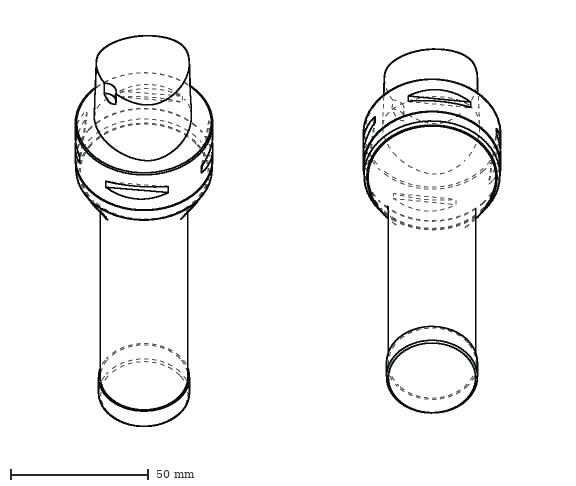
import cadquery as cq
import math

TOTAL_HEIGHT = 178.0
FLANGE_TOP = 148.5
BAND_TOP = 128.5
FLANGE_BOTTOM = 122.0
SHANK_TOP = 103.2
CAP_TOP = 9.8

FLANGE_RADIUS = 50.0 / 2
BAND_RADIUS = 49.5 / 2
NECK_RADIUS = 46.5 / 2
SHANK_RADIUS = 31.9 / 2
FLANGE_CHAMFER = 0.5
BAND_CHAMFER = 1.0

NECK_HALF_ANGLE = math.radians(28)
NECK_UPPER_BLEND = 10.7
NECK_LOWER_BLEND = 8.9
NECK_OVERLAP = 1.8
HEIGHT_TOLERANCE = 0.2

LOBE_BASE_RADIUS = 17.6
LOBE_ECCENTRICITY = 1.0
LOBE_COUNT = 3
TAPER_PER_SIDE = 1 / 40
STRAIGHT_HEIGHT = 2.5
CURVE_POINTS = 36

NOTCH_RADIUS = 4.1
NOTCH_AXIS_Y = -18.2
NOTCH_DEPTH = 5.5
NOTCH_TIP_HEIGHT = 3.2

SLOT_COUNT = 4
SLOT_CENTRE_Z = 138.1
SLOT_FLOOR_DISTANCE = 22.2
SLOT_FLOOR_HEIGHT = 3.2
SLOT_MOUTH_HEIGHT = 7.0
SLOT_LENGTH = 26.7

CAP_RADIUS = 16.5
CAP_EDGE_Z = 1.5
CAP_RIM_Z = 0.7
CAP_RIM_RADIUS = 15.8
CAP_FACE_RADIUS = 5.3


def lobed_wire(mean_radius, z):
    """Closed constant-width curve with one lobe pointing to +Y."""
    points = []
    for index in range(CURVE_POINTS):
        angle = 2 * math.pi * index / CURVE_POINTS
        phase = LOBE_COUNT * (angle - math.pi / 2)
        support = mean_radius + LOBE_ECCENTRICITY * math.cos(phase)
        slope = -LOBE_COUNT * LOBE_ECCENTRICITY * math.sin(phase)
        x = support * math.cos(angle) - slope * math.sin(angle)
        y = support * math.sin(angle) + slope * math.cos(angle)
        points.append(cq.Vector(x, y, z))
    return cq.Wire.assembleEdges([cq.Edge.makeSpline(points, periodic=True)])


def make_taper():
    """Straight lobed collar with the lobed taper above it."""
    taper_bottom = FLANGE_TOP + STRAIGHT_HEIGHT
    top_radius = LOBE_BASE_RADIUS - TAPER_PER_SIDE * (TOTAL_HEIGHT - taper_bottom)
    lower = lobed_wire(LOBE_BASE_RADIUS, FLANGE_TOP)
    middle = lobed_wire(LOBE_BASE_RADIUS, taper_bottom)
    upper = lobed_wire(top_radius, TOTAL_HEIGHT)
    collar = cq.Workplane(cq.Solid.makeLoft([lower, middle], True))
    return collar.union(cq.Workplane(cq.Solid.makeLoft([middle, upper], True)))


def circle_at(z):
    """Selector for the circular edge at one height."""
    reach = FLANGE_RADIUS
    low = (-reach, -reach, z - HEIGHT_TOLERANCE)
    high = (reach, reach, z + HEIGHT_TOLERANCE)
    return cq.selectors.BoxSelector(low, high)


def make_neck():
    """Cone with rounded blends into the short cylinders at its two ends."""
    upper_tangent = NECK_UPPER_BLEND * math.tan(NECK_HALF_ANGLE / 2)
    cone_top = FLANGE_BOTTOM - upper_tangent
    cone_bottom = cone_top - (NECK_RADIUS - SHANK_RADIUS) / math.tan(NECK_HALF_ANGLE)
    profile = [
        (0, SHANK_TOP - NECK_OVERLAP),
        (SHANK_RADIUS, SHANK_TOP - NECK_OVERLAP),
        (SHANK_RADIUS, cone_bottom),
        (NECK_RADIUS, cone_top),
        (NECK_RADIUS, BAND_TOP),
        (0, BAND_TOP),
    ]
    neck = cq.Workplane("XZ").polyline(profile).close().revolve(360, (0, 0), (0, 1))
    neck = neck.edges(circle_at(cone_top)).fillet(NECK_UPPER_BLEND)
    return neck.edges(circle_at(cone_bottom)).fillet(NECK_LOWER_BLEND)


def cylinder(radius, bottom, top):
    return cq.Workplane().workplane(offset=bottom).circle(radius).extrude(top - bottom)


def make_flange():
    """Gripper flange with the slightly smaller band under it."""
    flange = cylinder(FLANGE_RADIUS, BAND_TOP, FLANGE_TOP).faces(">Z").chamfer(FLANGE_CHAMFER)
    band = cylinder(BAND_RADIUS, FLANGE_BOTTOM, BAND_TOP).faces("<Z").chamfer(BAND_CHAMFER)
    return flange.union(band)


def slot_cutter(angle):
    """Trapezoidal groove, wider at its mouth, running across the flange."""
    floor_half = SLOT_FLOOR_HEIGHT / 2
    mouth_half = SLOT_MOUTH_HEIGHT / 2
    section = [
        (SLOT_FLOOR_DISTANCE, SLOT_CENTRE_Z - floor_half),
        (FLANGE_RADIUS, SLOT_CENTRE_Z - mouth_half),
        (FLANGE_RADIUS, SLOT_CENTRE_Z + mouth_half),
        (SLOT_FLOOR_DISTANCE, SLOT_CENTRE_Z + floor_half),
    ]
    cutter = cq.Workplane("XZ").polyline(section).close().extrude(SLOT_LENGTH / 2, both=True)
    return cutter.rotate((0, 0, 0), (0, 0, 1), angle)


def notch_cutter():
    """Vertical drill shape whose axis lies just outside the taper."""
    shoulder = TOTAL_HEIGHT - NOTCH_DEPTH
    profile = [
        (0, TOTAL_HEIGHT),
        (NOTCH_RADIUS, TOTAL_HEIGHT),
        (NOTCH_RADIUS, shoulder),
        (0, shoulder - NOTCH_TIP_HEIGHT),
    ]
    cutter = cq.Workplane("XZ").polyline(profile).close().revolve(360, (0, 0), (0, 1))
    return cutter.translate((0, NOTCH_AXIS_Y, 0))


def make_holder():
    """Taper, flange, neck and shank as one solid."""
    shank = cylinder(SHANK_RADIUS, CAP_TOP, SHANK_TOP)
    holder = shank.union(make_neck()).union(make_flange()).union(make_taper())
    for index in range(SLOT_COUNT):
        holder = holder.cut(slot_cutter((index + 0.5) * 360 / SLOT_COUNT))
    return holder.cut(notch_cutter())


def make_end_cap():
    """Slightly wider cap under the shank, with a bevelled, shallow conical bottom."""
    profile = [
        (0, 0),
        (CAP_FACE_RADIUS, 0),
        (CAP_RIM_RADIUS, CAP_RIM_Z),
        (CAP_RADIUS, CAP_EDGE_Z),
        (CAP_RADIUS, CAP_TOP),
        (0, CAP_TOP),
    ]
    return cq.Workplane("XZ").polyline(profile).close().revolve(360, (0, 0), (0, 1))


holder = make_holder()
end_cap = make_end_cap()
result = cq.Compound.makeCompound([holder.val(), end_cap.val()])